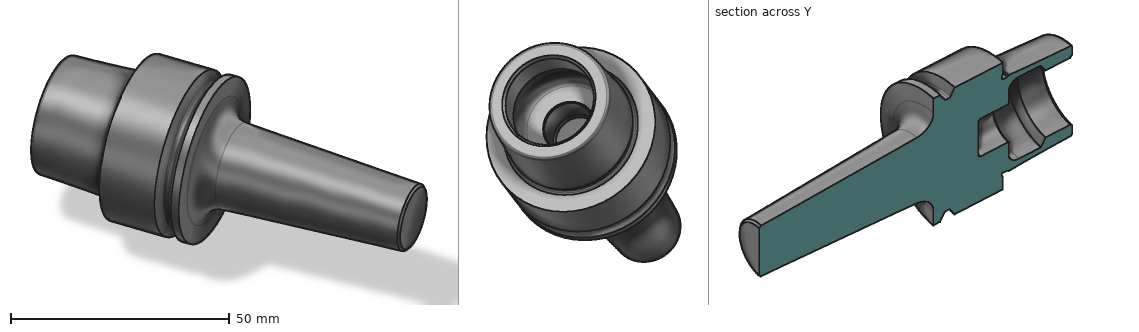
import cadquery as cq
import math

total_length = 90
body_radius = 20.0

taper_end_x = 17.8
taper_nose_radius = 14.2
taper_root_radius = 15.1
nose_rounding = 0.6
neck_radius = 14.8
neck_start_x = 18.7
face_x = 20.0

relief_radius = 15.9
relief_rounding = 0.4
relief_ramp_angle = 20

flange_end_x = 40.0
groove_start_x = 33.8
groove_end_x = 38.0
groove_floor_radius = 17.55
groove_wall_angle = 30
groove_rounding = 0.45

shank_half_angle = 3
shank_tip_radius = 8.0
tip_chamfer = 0.5
shank_fillet = 5.0

bore_radius = 10.4
mouth_chamfer = 0.6
clamp_groove_radius = 12.8
clamp_shoulder_x = 7.7
clamp_shoulder_angle = 60
bore_floor_x = 18.2
bore_floor_radius = 10.0
pilot_radius = 5.85
pilot_mouth_chamfer = 0.3
pilot_end_chamfer = 0.5
pilot_end_x = 27


def revolve_about_axis(profile):
    """Turn a closed half profile into a solid around the X axis."""
    return profile.close().revolve(360, (0, 0, 0), (1, 0, 0))


def make_taper_and_flange():
    ramp_angle = math.radians(relief_ramp_angle)
    relief_turn = math.radians(90) + ramp_angle
    ramp_start_radius = neck_radius + relief_rounding * (1 + math.sin(ramp_angle))
    ramp_start_x = face_x + (relief_radius - ramp_start_radius) * math.tan(ramp_angle)
    relief_center_x = ramp_start_x - relief_rounding * math.cos(ramp_angle)
    relief_center_radius = neck_radius + relief_rounding

    def relief_point(turn):
        return (
            relief_center_x + relief_rounding * math.sin(turn),
            relief_center_radius - relief_rounding * math.cos(turn),
        )

    profile = (
        cq.Workplane("XY")
        .lineTo(0, taper_nose_radius)
        .lineTo(taper_end_x, taper_root_radius)
        .lineTo(neck_start_x - (taper_root_radius - neck_radius), taper_root_radius)
        .lineTo(neck_start_x, neck_radius)
        .lineTo(relief_center_x, neck_radius)
        .threePointArc(relief_point(relief_turn / 2), relief_point(relief_turn))
        .lineTo(face_x, relief_radius)
        .lineTo(face_x, body_radius)
        .lineTo(flange_end_x, body_radius)
        .lineTo(flange_end_x, 0)
    )
    solid = revolve_about_axis(profile)
    return solid.faces("<X").edges().fillet(nose_rounding)


def make_gripper_groove():
    wall_run = (body_radius - groove_floor_radius) * math.tan(math.radians(groove_wall_angle))
    profile = (
        cq.Workplane("XY")
        .moveTo(groove_start_x, body_radius)
        .lineTo(groove_start_x + wall_run, groove_floor_radius)
        .lineTo(groove_end_x - wall_run, groove_floor_radius)
        .lineTo(groove_end_x, body_radius)
    )
    cutter = revolve_about_axis(profile)
    inner_edges = cutter.edges(cq.selectors.RadiusNthSelector(0))
    return inner_edges.fillet(groove_rounding)


def make_shank():
    angle = math.radians(shank_half_angle)
    slope = math.tan(angle)
    fillet_center_x = flange_end_x + shank_fillet
    cone_radius_at_center = shank_tip_radius + (total_length - fillet_center_x) * slope
    fillet_center_radius = cone_radius_at_center + shank_fillet / math.cos(angle)
    fillet_turn = math.radians(90) - angle

    def fillet_point(turn):
        return (
            fillet_center_x - shank_fillet * math.cos(turn),
            fillet_center_radius - shank_fillet * math.sin(turn),
        )

    profile = (
        cq.Workplane("XY")
        .moveTo(flange_end_x, 0)
        .lineTo(*fillet_point(0))
        .threePointArc(fillet_point(fillet_turn / 2), fillet_point(fillet_turn))
        .lineTo(total_length, shank_tip_radius)
        .lineTo(total_length, 0)
    )
    solid = revolve_about_axis(profile)
    return solid.faces(">X").edges().chamfer(tip_chamfer)


def make_bore():
    shoulder_run = (clamp_groove_radius - bore_radius) / math.tan(math.radians(clamp_shoulder_angle))
    floor_rounding = clamp_groove_radius - bore_floor_radius
    profile = (
        cq.Workplane("XY")
        .lineTo(0, bore_radius + mouth_chamfer)
        .lineTo(mouth_chamfer, bore_radius)
        .lineTo(clamp_shoulder_x, bore_radius)
        .lineTo(clamp_shoulder_x + shoulder_run, clamp_groove_radius)
        .lineTo(bore_floor_x - floor_rounding, clamp_groove_radius)
        .radiusArc((bore_floor_x, bore_floor_radius), floor_rounding)
        .lineTo(bore_floor_x, pilot_radius + pilot_mouth_chamfer)
        .lineTo(bore_floor_x + pilot_mouth_chamfer, pilot_radius)
        .lineTo(pilot_end_x - pilot_end_chamfer, pilot_radius)
        .lineTo(pilot_end_x, pilot_radius - pilot_end_chamfer)
        .lineTo(pilot_end_x, 0)
    )
    return revolve_about_axis(profile)


result = make_taper_and_flange().cut(make_gripper_groove()).union(make_shank()).cut(make_bore())